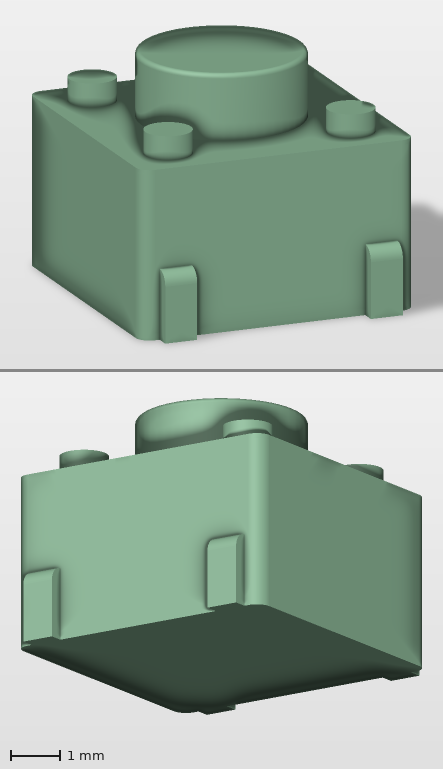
import cadquery as cq

overall_width = 6.6
overall_height = 5.0

body_side = 6.0
body_height = 3.6
cover_thickness = 0.1
corner_radius = 0.3

button_diameter = 3.5
button_edge_radius = 0.1

rivet_diameter = 1.0
rivet_height = 0.5
rivet_spacing = 4.0

lead_width = 0.7
lead_height = 1.5
lead_spacing = 4.5
lead_embed = 0.33
lead_reach = (overall_width - body_side) / 2


def rounded_block(height, base_z):
    """Square block with rounded vertical corners."""
    block = cq.Workplane("XY").workplane(offset=base_z).rect(body_side, body_side).extrude(height)
    return block.edges("|Z").fillet(corner_radius)


def make_button():
    """Button standing on the cover, with a rounded top edge."""
    button = (
        cq.Workplane("XY")
        .workplane(offset=body_height)
        .circle(button_diameter / 2)
        .extrude(overall_height - body_height)
    )
    return button.faces(">Z").edges().fillet(button_edge_radius)


def make_rivets():
    """Four rivet heads near the corners of the cover."""
    return (
        cq.Workplane("XY")
        .workplane(offset=body_height)
        .rect(rivet_spacing, rivet_spacing, forConstruction=True)
        .vertices()
        .circle(rivet_diameter / 2)
        .extrude(rivet_height)
    )


def make_lead(side, center_y):
    """Lead on one side (-1 or +1 along X), rounded at its outer top edge."""
    length = lead_reach + lead_embed
    center_x = side * (overall_width - length) / 2
    lead = cq.Workplane("XY").box(length, lead_width, lead_height, centered=(True, True, False))
    outer_face = ">X" if side > 0 else "<X"
    lead = lead.faces(outer_face).edges(">Z").fillet(lead_reach)
    return lead.translate((center_x, center_y, 0))


housing = rounded_block(body_height - cover_thickness, 0)
cover = rounded_block(cover_thickness, body_height - cover_thickness)

result = housing.union(cover, clean=False)
result = result.union(make_button(), clean=False).union(make_rivets(), clean=False)
for side in (-1, 1):
    for center_y in (-lead_spacing / 2, lead_spacing / 2):
        result = result.union(make_lead(side, center_y), clean=False)